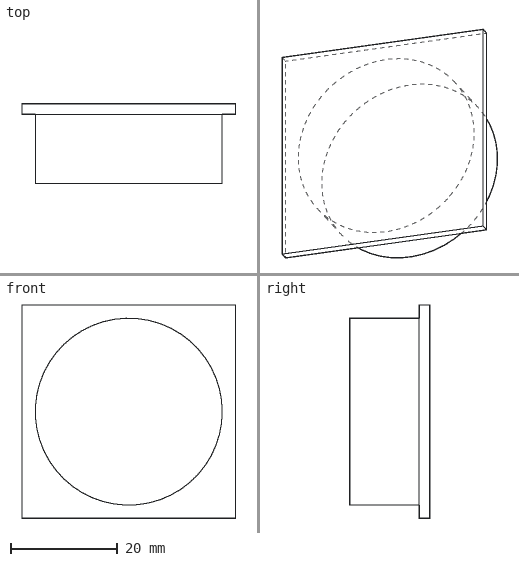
import cadquery as cq

plate_side = 40.0
plate_thickness = 2.0
total_depth = 15.0
disc_diameter = 35.0

disc_length = total_depth - plate_thickness



def make_plate():
    """Square plate extending from the meeting plane toward +Y."""
    return cq.Workplane("XZ").rect(plate_side, plate_side).extrude(-plate_thickness)


def make_disc():
    """Plain cylinder extending from the meeting plane toward -Y."""
    return cq.Workplane("XZ").circle(disc_diameter / 2).extrude(disc_length)


plate = make_plate()
disc = make_disc()

result = cq.Compound.makeCompound([plate.val(), disc.val()])